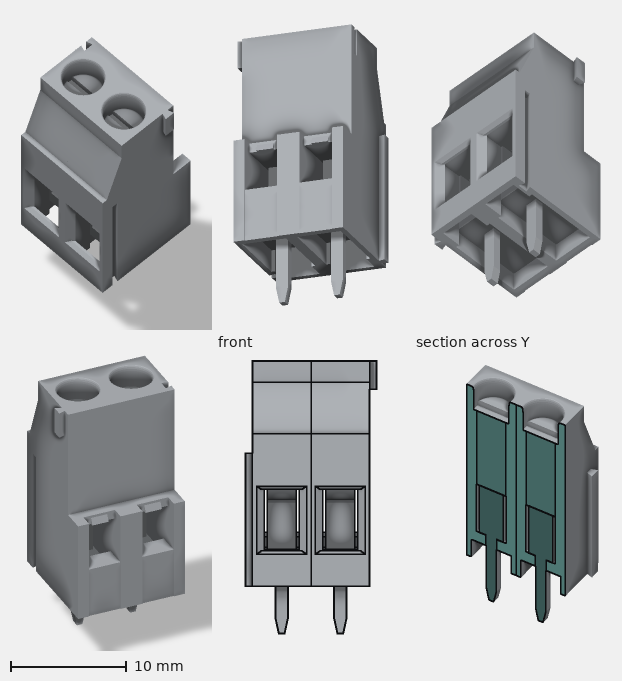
import cadquery as cq
import math


pole_count = 2
overall_width = 11.35

housing_width = 5.07
housing_depth = 10.6
housing_height = 19.52
brow_height = 17.68
brow_setback = 2.3
lip_height = 13.22
lip_depth = 0.5
tower_depth = 8.5
shoulder_height = 9.37
center_x = housing_width / 2

dovetail_length = (overall_width - pole_count * housing_width) / 2
dovetail_neck = 0.6
dovetail_flare = 1.0
front_dovetail_y = 1.49
front_dovetail_top = 11.55
rear_dovetail_y = 7.5
rear_dovetail_bottom = 17.06

screw_y = 5.0
head_diameter = 3.63
head_top = 17.6
head_height = 0.64
head_fillet = 0.33
slot_width = 0.65
shank_diameter = 2.97
rim_width = 0.2
rim_depth = 0.5
rim_cones = 4
seat_height = head_top - head_height

entry_width = 4.35
entry_bottom = 2.78
entry_top = 8.68
entry_edge_depth = 0.38
entry_edge_inset = 0.28
front_wall = 0.61

chamber_width = 3.37
chamber_end = 2.57
ceiling = 8.52
passage_width = 3.0
floor_top = 3.23
floor_thickness = 1.25
cavity_width = 4.05
rear_wall = 0.83

sill_top = 4.7
sill_lower_y = 9.1
sill_nose_y = tower_depth
sill_step = 0.15
sill_nose_bottom = 4.32
rear_recess = 0.07

pocket_start = 9.42
wedge_width = 1.53
wedge_length = 0.28
wedge_height = 0.61

terminal_width = 2.53
plate_front = 4.58
plate_thickness = 0.8
nose_radius = 0.92
throat_radius = 0.21
nose_bottom = 7.53
pin_width = 1.1
pin_length = 4.08
tip_width = 0.52
tip_length = 1.37


def box(width, y_start, y_end, z_start, z_end):
    """Box centred on the middle plane of a pole."""
    size = (width, y_end - y_start, z_end - z_start)
    corner = (center_x - width / 2, y_start, z_start)
    return cq.Workplane("XY").box(*size, centered=False).translate(corner)


def side_profile(points, width):
    """Closed (Y, Z) outline extruded along X, centred on the middle plane of a pole."""
    start_x = center_x - width / 2
    return cq.Workplane("YZ").polyline(points).close().extrude(width).translate((start_x, 0, 0))


def dovetail(root_x, length, center_y, z_start, z_end):
    """Dovetail bar that starts at root_x and flares along X; a negative length points to -X."""
    outline = [
        (root_x, center_y - dovetail_neck / 2),
        (root_x + length, center_y - dovetail_flare / 2),
        (root_x + length, center_y + dovetail_flare / 2),
        (root_x, center_y + dovetail_neck / 2),
    ]
    return cq.Workplane("XY").polyline(outline).close().extrude(z_end - z_start).translate((0, 0, z_start))


def cylinder(diameter, z_start, z_end):
    """Upright cylinder on the screw axis."""
    base = cq.Workplane("XY", origin=(center_x, screw_y, z_start))
    return base.circle(diameter / 2).extrude(z_end - z_start)


def rim_funnel():
    """Rounded lead-in at the mouth of the screw bore: a stack of cones along a quarter ellipse."""
    bore_radius = head_diameter / 2
    outline = [(0, housing_height - rim_depth), (0, housing_height)]
    for step in range(rim_cones + 1):
        angle = math.pi / 2 * step / rim_cones
        radius = bore_radius + rim_width * (1 - math.sin(angle))
        outline.append((radius, housing_height - rim_depth * (1 - math.cos(angle))))
    funnel = cq.Workplane("XZ").polyline(outline).close().revolve(360, (0, 0, 0), (0, 1, 0))
    return funnel.translate((center_x, screw_y, 0))


def wire_entry():
    """Funnel through the front wall: the sides taper through the whole wall, top and bottom only in part."""
    plan = [
        (center_x - entry_width / 2, 0),
        (center_x + entry_width / 2, 0),
        (center_x + passage_width / 2, front_wall),
        (center_x - passage_width / 2, front_wall),
    ]
    side = [
        (0, entry_bottom),
        (entry_edge_depth, entry_bottom + entry_edge_inset),
        (front_wall, entry_bottom + entry_edge_inset),
        (front_wall, entry_top - entry_edge_inset),
        (entry_edge_depth, entry_top - entry_edge_inset),
        (0, entry_top),
    ]
    tapered_sides = cq.Workplane("XY").polyline(plan).close().extrude(housing_height)
    return tapered_sides.intersect(side_profile(side, entry_width))


def wire_passage():
    """Passage from the chamber to the rear, ending over a sill with an overhanging nose."""
    rear = housing_depth - rear_recess
    return side_profile(
        [
            (chamber_end, floor_top),
            (sill_lower_y, floor_top),
            (sill_lower_y, floor_top + sill_step),
            (sill_nose_y, sill_nose_bottom),
            (sill_nose_y, sill_top),
            (rear, sill_top),
            (rear, ceiling),
            (chamber_end, ceiling),
        ],
        passage_width,
    )


def latch_wedge():
    """Small ramp on the rear face of the wall above the passage."""
    return side_profile(
        [
            (pocket_start, ceiling),
            (pocket_start + wedge_length, ceiling),
            (pocket_start, ceiling + wedge_height),
        ],
        wedge_width,
    )


def make_housing():
    outline = [
        (0, 0),
        (housing_depth, 0),
        (housing_depth, shoulder_height),
        (tower_depth, shoulder_height),
        (tower_depth, housing_height),
        (brow_setback, housing_height),
        (brow_setback, brow_height),
        (lip_depth, lip_height),
        (0, lip_height),
    ]
    housing = side_profile(outline, housing_width)

    housing = housing.cut(cylinder(head_diameter, seat_height, housing_height))
    housing = housing.cut(rim_funnel())
    housing = housing.cut(cylinder(shank_diameter, ceiling, seat_height))

    housing = housing.cut(wire_entry())
    housing = housing.cut(box(chamber_width, front_wall, chamber_end, 0, ceiling))
    housing = housing.cut(wire_passage())
    floor_bottom = floor_top - floor_thickness
    housing = housing.cut(box(cavity_width, chamber_end, housing_depth - rear_wall, 0, floor_bottom))
    plate_rear = plate_front + plate_thickness
    housing = housing.cut(box(pin_width, plate_front, plate_rear, floor_bottom, floor_top))

    housing = housing.cut(box(passage_width, pocket_start, housing_depth, sill_top, shoulder_height))
    housing = housing.cut(box(passage_width, housing_depth - rear_recess, housing_depth, 0, sill_top))
    housing = housing.union(latch_wedge())

    front_span = (front_dovetail_y, 0, front_dovetail_top)
    rear_span = (rear_dovetail_y, rear_dovetail_bottom, housing_height)
    housing = housing.cut(dovetail(housing_width, -dovetail_length, *front_span))
    housing = housing.cut(dovetail(0, dovetail_length, *rear_span))
    housing = housing.union(dovetail(0, -dovetail_length, *front_span))
    return housing.union(dovetail(housing_width, dovetail_length, *rear_span))


def make_screw():
    """Slotted screw resting on the terminal; its slot is as deep as its head."""
    head = cylinder(head_diameter, seat_height, head_top).faces(">Z").edges().fillet(head_fillet)
    screw = head.union(cylinder(shank_diameter, ceiling, seat_height))
    slot_start = screw_y - slot_width / 2
    return screw.cut(box(head_diameter, slot_start, slot_start + slot_width, seat_height, head_top))


def make_terminal():
    """Plate with a rounded nose over the wire and a tapered solder pin below."""
    plate_rear = plate_front + plate_thickness
    throat_y = plate_front - throat_radius
    nose_front = throat_y - nose_radius
    plate = (
        cq.Workplane("YZ", origin=(center_x - terminal_width / 2, 0, 0))
        .moveTo(plate_rear, floor_top)
        .lineTo(plate_front, floor_top)
        .lineTo(plate_front, nose_bottom - throat_radius)
        .radiusArc((throat_y, nose_bottom), -throat_radius)
        .radiusArc((nose_front, nose_bottom + nose_radius), nose_radius)
        .lineTo(nose_front, ceiling)
        .lineTo(plate_rear, ceiling)
        .close()
        .extrude(terminal_width)
    )
    pin = (
        cq.Workplane("XZ", origin=(center_x, plate_rear, 0))
        .moveTo(-pin_width / 2, floor_top)
        .lineTo(-pin_width / 2, tip_length - pin_length)
        .lineTo(-tip_width / 2, -pin_length)
        .lineTo(tip_width / 2, -pin_length)
        .lineTo(pin_width / 2, tip_length - pin_length)
        .lineTo(pin_width / 2, floor_top)
        .close()
        .extrude(plate_thickness)
    )
    return plate.union(pin)


bodies = []
for pole in range(pole_count):
    for make_body in (make_housing, make_screw, make_terminal):
        bodies.append(make_body().translate((pole * housing_width, 0, 0)).solids().val())

result = cq.Compound.makeCompound(bodies)